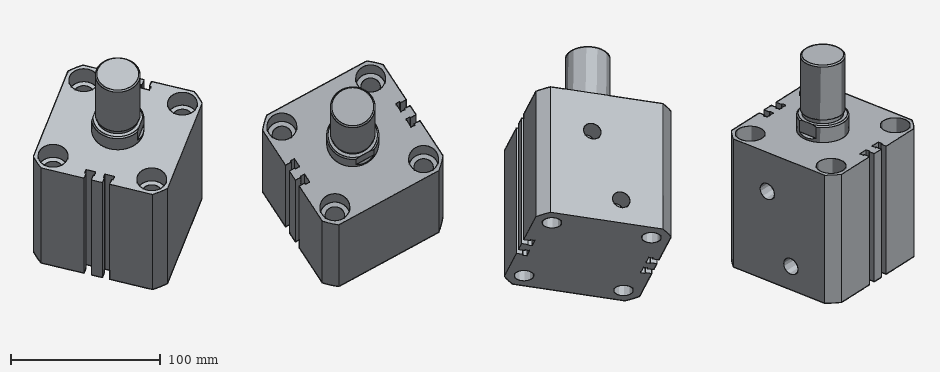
import cadquery as cq

housing_width = 94.0
housing_height = 99.0
corner_radius = 61.0

mount_offset = 34.5
mount_hole_diameter = 13.0
counterbore_diameter = 20.0
counterbore_depth = 13.5

groove_mouth_offset = 6.5
groove_inner_offset = 6.6
groove_mouth_width = 5.0
groove_inner_width = 6.8
groove_lip = 4.5
groove_depth = 7.5

port_offset = 10.0
lower_port_height = 18.2
upper_port_height = 69.0
port_mouth_diameter = 12.1
port_floor_diameter = 11.0
port_depth = 14.1

total_height = 157.0
collar_diameter = 35.0
collar_height = 12.5
thread_diameter = 30.0
neck_diameter = 28.0
neck_height = 3.5
edge_chamfer = 1.0
flat_spacing = 32.0
flat_bottom = 3.0


def make_groove(x_side, y_side):
    """T-shaped groove cutter; each argument (-1 or +1) picks the side of the housing in X and Y."""
    face_y = y_side * housing_width / 2
    mouth = (
        cq.Workplane("XY")
        .center(x_side * groove_mouth_offset, face_y - y_side * groove_lip / 2)
        .rect(groove_mouth_width, groove_lip)
        .extrude(housing_height)
    )
    inner_depth = groove_depth - groove_lip
    inner = (
        cq.Workplane("XY")
        .center(x_side * groove_inner_offset, face_y - y_side * (groove_lip + inner_depth / 2))
        .rect(groove_inner_width, inner_depth)
        .extrude(housing_height)
    )
    return mouth.union(inner)


def make_port(y, z):
    """Blind port cutter entering from the -X side and narrowing towards its floor."""
    side_plane = cq.Workplane("YZ", origin=(-housing_width / 2, y, z))
    mouth = side_plane.circle(port_mouth_diameter / 2)
    return mouth.workplane(offset=port_depth).circle(port_floor_diameter / 2).loft()


def make_housing():
    block = cq.Workplane("XY").rect(housing_width, housing_width).extrude(housing_height)
    housing = block.intersect(cq.Workplane("XY").circle(corner_radius).extrude(housing_height))
    housing = (
        housing.faces(">Z").workplane(origin=(0, 0, housing_height))
        .rect(2 * mount_offset, 2 * mount_offset, forConstruction=True)
        .vertices()
        .cboreHole(mount_hole_diameter, counterbore_diameter, counterbore_depth)
    )
    for x_side in (-1, 1):
        for y_side in (-1, 1):
            housing = housing.cut(make_groove(x_side, y_side))
    housing = housing.cut(make_port(-port_offset, lower_port_height))
    housing = housing.cut(make_port(port_offset, upper_port_height))
    return housing


def make_flat(side):
    """Wrench flat cutter on the side (-1 or +1) in X, with a 45-degree lower end."""
    flat_x = flat_spacing / 2
    outer_x = collar_diameter / 2
    bottom = housing_height + flat_bottom
    top = housing_height + collar_height
    outline = [
        (side * flat_x, bottom),
        (side * outer_x, bottom - (outer_x - flat_x)),
        (side * outer_x, top),
        (side * flat_x, top),
    ]
    return cq.Workplane("XZ").polyline(outline).close().extrude(collar_diameter / 2, both=True)


def make_rod():
    collar = cq.Workplane("XY", origin=(0, 0, housing_height)).circle(collar_diameter / 2)
    collar = collar.extrude(collar_height).faces(">Z").chamfer(edge_chamfer)
    for side in (-1, 1):
        collar = collar.cut(make_flat(side))

    neck_base = housing_height + collar_height
    neck = cq.Workplane("XY", origin=(0, 0, neck_base)).circle(neck_diameter / 2).extrude(neck_height)

    thread_base = neck_base + neck_height
    thread = cq.Workplane("XY", origin=(0, 0, thread_base)).circle(thread_diameter / 2)
    thread = thread.extrude(total_height - thread_base).faces(">Z").chamfer(edge_chamfer)
    return collar.union(neck).union(thread)


housing = make_housing()
rod = make_rod()

result = cq.Compound.makeCompound([housing.val(), rod.val()])